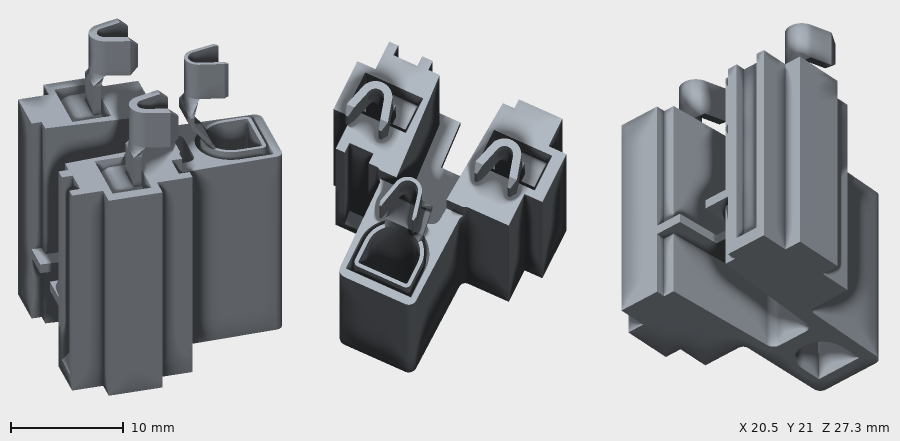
import cadquery as cq
import math


total_height = 27.28
block_height = 20.33
block_half_width = 8.5
block_depth = 11.14
wing_half_width = 10.255
wing_front = 2.87
wing_back = 7.86

tower_height = 18.03
tower_back = 21.02
tower_half_width_back = 3.71
tower_half_width_root = 3.93
tower_corner_radius = 0.75
tower_root_radius = 0.6
tower_step_y = 11.3
selection_margin = 0.1

slot_lip_half_width = 4.23
slot_lip_depth = 0.93
slot_half_width_front = 3.1
slot_half_width_back = 2.33
slot_back = 13.3
slot_corner_radius = 0.85

web_bottom = 6.33
web_thickness = 0.9
web_notch_depth = 4.58
web_notch_half_width_front = 1.52
web_notch_half_width_back = 1.26

groove_center_x = 6.44
groove_width = 2.34
groove_depth = 1.0
groove_floor = 1.27

cavity_floor = 2.76
entry_margin = 0.28
entry_height = 1.29
side_x = 6.33
side_cavity_width = 5.16
side_cavity_front = 3.83
side_cavity_back = 6.88
center_arc_y = 17.2
center_cavity_radius = 2.94
center_cavity_back = 19.95

crimp_height = 3.58
crimp_bottom = total_height - crimp_height

side_sheet = 0.72
side_strip_front = 5.96
side_strip_width = 2.6
side_strip_top = 22.7
side_body_top = 19.65
side_body_edge_radius = 1.2
side_crimp_radius = 1.5
side_crimp_lean = 15.5
side_crimp_length = 4.0
side_tip_length = 0.8
side_tip_bevel = 0.5
side_tip_corner = 0.65

center_sheet = 0.35
tube_radius = 2.75
tube_top = 18.54
tube_back = 19.78
tube_corner_radius = 0.5
tail_half_width = 1.84
tail_root_top = 19.35
tail_front = 12.92
tail_bend_z = 21.2
tail_top = 22.15
tail_bend_radius = 0.7
center_crimp_radius = 1.3
center_crimp_lean = 13.0
center_crimp_length = 3.58
center_tip_length = 0.4
center_tip_bevel = 0.18
center_tip_corner = 0.12


def box_between(x_range, y_range, z_range):
    """Box that fills the given X, Y and Z ranges."""
    size = [high - low for low, high in (x_range, y_range, z_range)]
    corner = (x_range[0], y_range[0], z_range[0])
    return cq.Workplane("XY").box(*size, centered=False).translate(corner)


def d_outline(radius, back, z):
    """D-shaped outline: half circle in front, straight sides and a flat back."""
    return (
        cq.Workplane("XY", origin=(0, 0, z))
        .moveTo(-radius, back)
        .lineTo(-radius, center_arc_y)
        .threePointArc((0, center_arc_y - radius), (radius, center_arc_y))
        .lineTo(radius, back)
        .close()
    )


def arc_strip_wire(radius, sheet, center_y, half_angle, z):
    """Cross-section of a sheet curved about (0, center_y), bulging to the front."""
    sine = math.sin(half_angle)
    cosine = math.cos(half_angle)
    inner = radius - sheet
    return (
        cq.Workplane("XY", origin=(0, 0, z))
        .moveTo(-radius * sine, center_y - radius * cosine)
        .threePointArc((0, center_y - radius), (radius * sine, center_y - radius * cosine))
        .lineTo(inner * sine, center_y - inner * cosine)
        .threePointArc((0, center_y - inner), (-inner * sine, center_y - inner * cosine))
        .close()
        .val()
    )


def flat_strip_wire(half_width, sheet, front, z):
    """Cross-section of a flat sheet whose front face is at Y = front."""
    return (
        cq.Workplane("XY", origin=(0, 0, z))
        .moveTo(-half_width, front)
        .lineTo(half_width, front)
        .lineTo(half_width, front + sheet)
        .lineTo(-half_width, front + sheet)
        .close()
        .val()
    )


def blend(lower_wire, upper_wire):
    """Ruled transition between two cross-sections."""
    return cq.Workplane(cq.Solid.makeLoft([lower_wire, upper_wire], True))


def housing_blank():
    block = box_between((-block_half_width, block_half_width), (0, block_depth), (0, block_height))
    wings = box_between((-wing_half_width, wing_half_width), (wing_front, wing_back), (0, block_height))
    tower = (
        cq.Workplane("XY")
        .moveTo(-tower_half_width_root, wing_back)
        .lineTo(-tower_half_width_root, block_depth)
        .lineTo(-tower_half_width_back, tower_back)
        .lineTo(tower_half_width_back, tower_back)
        .lineTo(tower_half_width_root, block_depth)
        .lineTo(tower_half_width_root, wing_back)
        .close()
        .extrude(block_height)
        .edges("|Z and >Y")
        .fillet(tower_corner_radius)
    )
    blank = block.union(wings).union(tower)
    reach = selection_margin
    root_edges = cq.selectors.BoxSelector(
        (-tower_half_width_root - reach, block_depth - reach, 0),
        (tower_half_width_root + reach, block_depth + reach, block_height),
    )
    blank = blank.edges("|Z").edges(root_edges).fillet(tower_root_radius)
    above_tower = box_between(
        (-block_half_width, block_half_width), (tower_step_y, tower_back), (tower_height, block_height)
    )
    return blank.cut(above_tower)


def front_slot():
    """Tapering slot, open at the front and through the full height."""
    taper = (
        cq.Workplane("XY")
        .moveTo(-slot_half_width_front, 0)
        .lineTo(-slot_half_width_front, slot_lip_depth)
        .lineTo(-slot_half_width_back, slot_back)
        .lineTo(slot_half_width_back, slot_back)
        .lineTo(slot_half_width_front, slot_lip_depth)
        .lineTo(slot_half_width_front, 0)
        .close()
        .extrude(block_height)
        .edges("|Z and >Y")
        .fillet(slot_corner_radius)
    )
    lip = box_between(
        (-slot_lip_half_width, slot_lip_half_width), (0, slot_lip_depth), (0, block_height)
    )
    return taper.union(lip)


def web_notch():
    return (
        cq.Workplane("XY")
        .moveTo(-web_notch_half_width_front, 0)
        .lineTo(-web_notch_half_width_back, web_notch_depth)
        .lineTo(web_notch_half_width_back, web_notch_depth)
        .lineTo(web_notch_half_width_front, 0)
        .close()
        .extrude(block_height)
    )


def web_gaps(slot):
    """The slot split in two by the cross web, with the notch cut out of the web."""
    x_range = (-slot_lip_half_width, slot_lip_half_width)
    web = box_between(x_range, (0, slot_back), (web_bottom, web_bottom + web_thickness))
    return slot.cut(web.cut(web_notch()))


def guide_groove(face_y, inward):
    """Groove open at the top, ending in a 45 degree ramp; inward is +1 or -1 along Y."""
    ramp_top = groove_floor + groove_depth
    bottom_y = face_y + inward * groove_depth
    return (
        cq.Workplane("YZ", origin=(groove_center_x, 0, 0))
        .moveTo(face_y, groove_floor)
        .lineTo(bottom_y, ramp_top)
        .lineTo(bottom_y, block_height)
        .lineTo(face_y, block_height)
        .close()
        .extrude(groove_width / 2, both=True)
    )


def side_cavity(x):
    depth = side_cavity_back - side_cavity_front
    middle_y = (side_cavity_front + side_cavity_back) / 2
    entry_bottom = block_height - entry_height
    shaft = (
        cq.Workplane("XY", origin=(x, middle_y, cavity_floor))
        .rect(side_cavity_width, depth)
        .extrude(entry_bottom - cavity_floor)
    )
    entry = (
        cq.Workplane("XY", origin=(x, middle_y, entry_bottom))
        .rect(side_cavity_width, depth)
        .workplane(offset=entry_height)
        .rect(side_cavity_width + 2 * entry_margin, depth + 2 * entry_margin)
        .loft(ruled=True)
    )
    return shaft.union(entry)


def center_cavity():
    """Stepped through opening; the step carries the foot of the center tube."""
    entry_bottom = tower_height - entry_height
    shaft = d_outline(center_cavity_radius, center_cavity_back, cavity_floor).extrude(
        entry_bottom - cavity_floor
    )
    entry = blend(
        d_outline(center_cavity_radius, center_cavity_back, entry_bottom).val(),
        d_outline(
            center_cavity_radius + entry_margin, center_cavity_back + entry_margin, tower_height
        ).val(),
    )
    outlet = d_outline(tube_radius - center_sheet, tube_back - center_sheet, 0).extrude(cavity_floor)
    return shaft.union(entry).union(outlet)


def make_housing():
    body = housing_blank().cut(web_gaps(front_slot()))
    body = body.cut(guide_groove(0, 1)).cut(guide_groove(block_depth, -1))
    for x in (-side_x, side_x):
        body = body.cut(side_cavity(x))
    return body.cut(center_cavity())


def crimp_half_angle(lean):
    """Half of the angle covered by the curved bottom of a crimp."""
    return math.radians(90 - lean)


def crimp_barrel(front, radius, sheet, lean, length, tip_length, tip_bevel, tip_corner):
    """Open U-shaped crimp with leaning arms, tips beveled outside and cornered top and bottom."""
    half_angle = crimp_half_angle(lean)
    slope = math.tan(math.radians(lean))
    center_y = front + radius
    inner = radius - sheet
    tip_y = front + length
    bevel_y = tip_y - tip_length
    outer_x = radius * math.sin(half_angle)
    outer_y = center_y - radius * math.cos(half_angle)
    inner_x = inner * math.sin(half_angle)
    inner_y = center_y - inner * math.cos(half_angle)
    bevel_x = outer_x + (bevel_y - outer_y) * slope
    outer_tip_x = outer_x + (tip_y - outer_y) * slope - tip_bevel
    inner_tip_x = inner_x + (tip_y - inner_y) * slope
    barrel = (
        cq.Workplane("XY", origin=(0, 0, crimp_bottom))
        .moveTo(outer_x, outer_y)
        .lineTo(bevel_x, bevel_y)
        .lineTo(outer_tip_x, tip_y)
        .lineTo(inner_tip_x, tip_y)
        .lineTo(inner_x, inner_y)
        .threePointArc((0, center_y - inner), (-inner_x, inner_y))
        .lineTo(-inner_tip_x, tip_y)
        .lineTo(-outer_tip_x, tip_y)
        .lineTo(-bevel_x, bevel_y)
        .lineTo(-outer_x, outer_y)
        .threePointArc((0, front), (outer_x, outer_y))
        .close()
        .extrude(crimp_height)
    )
    side_profile = (
        cq.Workplane("YZ")
        .moveTo(front, crimp_bottom)
        .lineTo(bevel_y, crimp_bottom)
        .lineTo(tip_y, crimp_bottom + tip_corner)
        .lineTo(tip_y, total_height - tip_corner)
        .lineTo(bevel_y, total_height)
        .lineTo(front, total_height)
        .close()
        .extrude(bevel_x + radius, both=True)
    )
    return barrel.intersect(side_profile)


def make_side_contact(x):
    strip_back = side_strip_front + side_sheet
    half_strip = side_strip_width / 2
    half_body = side_cavity_width / 2
    body = (
        box_between((-half_body, half_body), (side_cavity_front, strip_back), (cavity_floor, side_body_top))
        .edges(">Z and <Y")
        .fillet(side_body_edge_radius)
    )
    strip = box_between(
        (-half_strip, half_strip), (side_strip_front, strip_back), (cavity_floor, side_strip_top)
    )
    neck = blend(
        flat_strip_wire(half_strip, side_sheet, side_strip_front, side_strip_top),
        arc_strip_wire(
            side_crimp_radius,
            side_sheet,
            side_strip_front + side_crimp_radius,
            crimp_half_angle(side_crimp_lean),
            crimp_bottom,
        ),
    )
    barrel = crimp_barrel(
        side_strip_front,
        side_crimp_radius,
        side_sheet,
        side_crimp_lean,
        side_crimp_length,
        side_tip_length,
        side_tip_bevel,
        side_tip_corner,
    )
    return body.union(strip).union(neck).union(barrel).translate((x, 0, 0))


def center_tube():
    height = tube_top - cavity_floor
    inner_radius = tube_radius - center_sheet
    inner_back = tube_back - center_sheet
    outside = (
        d_outline(tube_radius, tube_back, cavity_floor)
        .extrude(height)
        .edges("|Z and >Y")
        .fillet(tube_corner_radius)
    )
    inside = (
        d_outline(inner_radius, inner_back, cavity_floor)
        .extrude(height)
        .edges("|Z and >Y")
        .fillet(tube_corner_radius - center_sheet)
    )
    return outside.cut(inside)


def center_tail():
    """Flat sheet that leans forward from the tube and then rises to the crimp."""
    root_front = center_arc_y - tube_radius
    lean = math.atan2(root_front - tail_front, tail_bend_z - tail_root_top)
    miter = center_sheet * math.tan(lean / 2)
    slant_sheet = center_sheet / math.cos(lean)
    profile = (
        cq.Workplane("YZ")
        .moveTo(root_front, tail_root_top)
        .lineTo(tail_front, tail_bend_z)
        .lineTo(tail_front, tail_top)
        .lineTo(tail_front + center_sheet, tail_top)
        .lineTo(tail_front + center_sheet, tail_bend_z + miter)
        .lineTo(root_front + slant_sheet, tail_root_top)
        .close()
        .extrude(tail_half_width, both=True)
    )
    outer_bend = cq.selectors.NearestToPointSelector((0, tail_front, tail_bend_z))
    inner_bend = cq.selectors.NearestToPointSelector((0, tail_front + center_sheet, tail_bend_z + miter))
    profile = profile.edges("|X").edges(outer_bend).fillet(tail_bend_radius)
    profile = profile.edges("|X").edges(inner_bend).fillet(tail_bend_radius - center_sheet)
    root = blend(
        arc_strip_wire(
            tube_radius, center_sheet, center_arc_y, math.asin(tail_half_width / tube_radius), tube_top
        ),
        flat_strip_wire(tail_half_width, slant_sheet, root_front, tail_root_top),
    )
    neck = blend(
        flat_strip_wire(tail_half_width, center_sheet, tail_front, tail_top),
        arc_strip_wire(
            center_crimp_radius,
            center_sheet,
            tail_front + center_crimp_radius,
            crimp_half_angle(center_crimp_lean),
            crimp_bottom,
        ),
    )
    return root.union(profile).union(neck)


def make_center_contact():
    barrel = crimp_barrel(
        tail_front,
        center_crimp_radius,
        center_sheet,
        center_crimp_lean,
        center_crimp_length,
        center_tip_length,
        center_tip_bevel,
        center_tip_corner,
    )
    return center_tube().union(center_tail()).union(barrel)


housing = make_housing()
side_contacts = [make_side_contact(x) for x in (-side_x, side_x)]
center_contact = make_center_contact()

bodies = [housing, *side_contacts, center_contact]
result = cq.Compound.makeCompound([body.solids().val() for body in bodies])